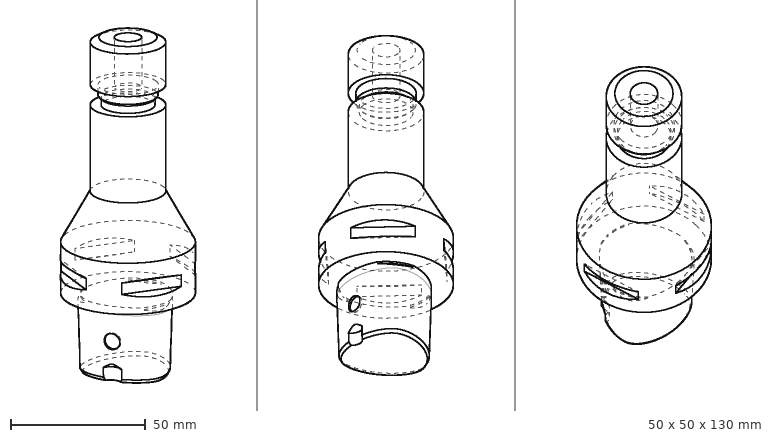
import cadquery as cq
import math

total_height = 130.0
shank_height = 30.0
flange_height = 20.0
cone_height = 19.9
flange_top = shank_height + flange_height
cone_top = flange_top + cone_height
body_top = 103.6
neck_top = 106.5
collar_bottom = 107.5
nut_bottom = 111.5
nut_chamfer_height = 1.8

flange_diameter = 50.0
flange_radius = flange_diameter / 2
body_radius = 14.0
neck_radius = 10.0
collar_radius = 11.2
nut_face_radius = 10.8
bore_radius = 5.1
bore_depth = 19.5

lobe_size = 1.2
shank_radius = 17.5
shank_end_radius = 16.8
shank_chamfer = 0.8
shank_chamfer_height = 1.4
taper_top = 26.9
points_per_lobe = 16

relief_radius = 17.7
relief_bottom = 27.8
relief_corner = 29.2

groove_count = 4
groove_floor_distance = 22.0
groove_floor_width = 4.4
groove_mouth_width = 7.0
groove_center_height = 40.0

dimple_radius = 3.1
dimple_height = 16.0
dimple_depth = 2.5
dimple_tip_height = 1.8
notch_radius = 4.2
notch_axis_y = -17.4
notch_depth = 5.2
notch_tip_height = 3.1


def lobed_wire(mean_radius, z):
    """Closed constant-width curve with one lobe pointing to +Y."""
    points = []
    count = 3 * points_per_lobe
    for i in range(count):
        angle = 2 * math.pi * i / count
        lobe_phase = 3 * (angle - math.pi / 2)
        support = mean_radius + lobe_size * math.cos(lobe_phase)
        slope = -3 * lobe_size * math.sin(lobe_phase)
        x = support * math.cos(angle) - slope * math.sin(angle)
        y = support * math.sin(angle) + slope * math.cos(angle)
        points.append(cq.Vector(x, y, z))
    return cq.Wire.assembleEdges([cq.Edge.makeSpline(points, periodic=True)])


def lobed_section(bottom_radius, bottom, top_radius, top):
    wires = [lobed_wire(bottom_radius, bottom), lobed_wire(top_radius, top)]
    return cq.Workplane(obj=cq.Solid.makeLoft(wires, True))


def turned(profile):
    return cq.Workplane("XZ").polyline(profile).close().revolve(360, (0, 0), (0, 1))


def make_shank():
    chamfer = lobed_section(shank_end_radius - shank_chamfer, 0, shank_end_radius, shank_chamfer_height)
    taper = lobed_section(shank_end_radius, shank_chamfer_height, shank_radius, taper_top)
    straight = lobed_section(shank_radius, taper_top, shank_radius, shank_height)
    relief_outer = relief_radius + relief_corner - relief_bottom
    relief_limit = turned([
        (0, taper_top),
        (relief_outer, taper_top),
        (relief_outer, relief_bottom),
        (relief_radius, relief_corner),
        (relief_radius, shank_height),
        (0, shank_height),
    ])
    return chamfer.union(taper).union(straight.intersect(relief_limit))


def make_upper_body():
    return turned([
        (0, shank_height),
        (flange_radius, shank_height),
        (flange_radius, flange_top),
        (body_radius, cone_top),
        (body_radius, body_top),
        (neck_radius, body_top),
        (neck_radius, neck_top),
        (collar_radius, collar_bottom),
        (collar_radius, nut_bottom),
        (body_radius, nut_bottom),
        (body_radius, total_height - nut_chamfer_height),
        (nut_face_radius, total_height),
        (0, total_height),
    ])


def make_groove():
    """Straight groove across +X with sides that flare outward."""
    floor = groove_floor_width / 2
    mouth = groove_mouth_width / 2
    return (
        cq.Workplane("XZ")
        .polyline([
            (groove_floor_distance, groove_center_height - floor),
            (flange_radius, groove_center_height - mouth),
            (flange_radius, groove_center_height + mouth),
            (groove_floor_distance, groove_center_height + floor),
        ])
        .close()
        .extrude(flange_radius, both=True)
    )


def drilled_hole(radius, depth, tip_height):
    """Blind hole rising along +Z from the origin, with a conical end."""
    return turned([(0, 0), (radius, 0), (radius, depth), (0, depth + tip_height)])


def make_dimple():
    hole = drilled_hole(dimple_radius, dimple_depth, dimple_tip_height)
    return hole.rotate((0, 0, 0), (1, 0, 0), -90).translate((0, -shank_radius, dimple_height))


def make_notch():
    return drilled_hole(notch_radius, notch_depth, notch_tip_height).translate((0, notch_axis_y, 0))


result = make_shank().union(make_upper_body())
result = result.cut(
    cq.Workplane("XY", origin=(0, 0, total_height - bore_depth)).circle(bore_radius).extrude(bore_depth)
)
groove = make_groove()
for i in range(groove_count):
    groove_angle = 45 + i * 360 / groove_count
    result = result.cut(groove.rotate((0, 0, 0), (0, 0, 1), groove_angle))
result = result.cut(make_dimple()).cut(make_notch())